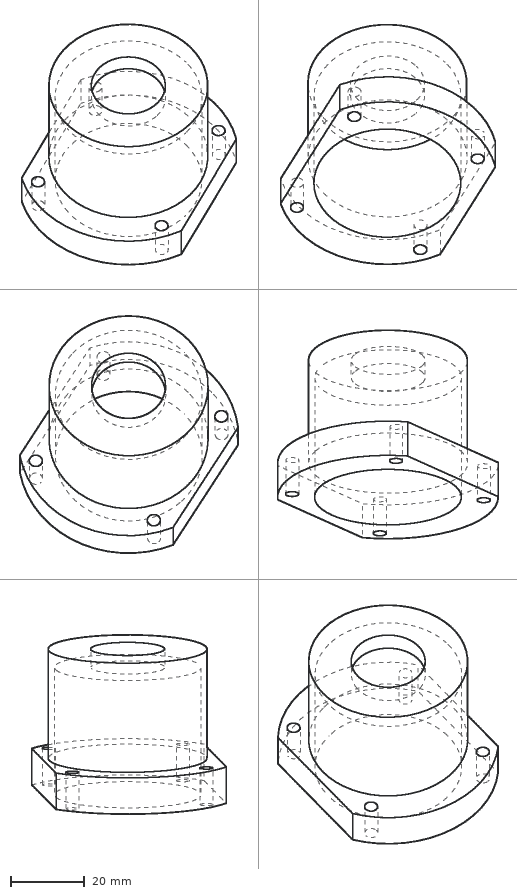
import cadquery as cq

total_height = 40.0
flange_height = 10.0
lip_height = 5.0

flange_diameter = 59.7
body_diameter = 43.0
cavity_diameter = 39.7
opening_diameter = 20.0

left_flat_distance = 23.0
right_flat_distance = 24.0

mount_hole_diameter = 3.5
bolt_circle_diameter = 52.0
mount_hole_count = 4
first_hole_angle = 45.0


def make_flange():
    """Round flange cut by two parallel flats at unequal distances from the axis."""
    disc = cq.Workplane("XY").circle(flange_diameter / 2).extrude(flange_height)
    flat_width = left_flat_distance + right_flat_distance
    flat_center_x = (right_flat_distance - left_flat_distance) / 2
    trim = (
        cq.Workplane("XY")
        .center(flat_center_x, 0)
        .rect(flat_width, flange_diameter)
        .extrude(flange_height)
    )
    return disc.intersect(trim)


def make_body():
    """Cylindrical housing standing on the flange axis."""
    return cq.Workplane("XY").circle(body_diameter / 2).extrude(total_height)


def make_bore():
    """Wide cavity from below, leaving a lip with a smaller opening at the top."""
    cavity = cq.Workplane("XY").circle(cavity_diameter / 2).extrude(total_height - lip_height)
    opening = cq.Workplane("XY").circle(opening_diameter / 2).extrude(total_height)
    return cavity.union(opening)


def make_mount_holes():
    """Through holes in the flange, evenly spaced on the bolt circle."""
    return (
        cq.Workplane("XY")
        .polarArray(bolt_circle_diameter / 2, first_hole_angle, 360, mount_hole_count)
        .circle(mount_hole_diameter / 2)
        .extrude(flange_height)
    )


result = make_flange().union(make_body()).cut(make_bore()).cut(make_mount_holes())